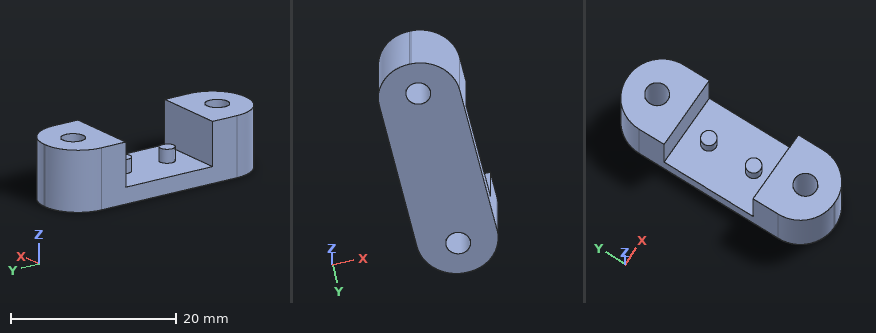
import cadquery as cq

width = 10.0
length = 30.0
height = 8.0
corner_radius = 4.9

channel_length = 12.9
floor_thickness = 2.2

hole_diameter = 3.0
hole_spacing = 21.5

pin_diameter = 2.0
pin_spacing = 6.5
pin_top = 4.0


def pair_along_length(spacing):
    """Two points on the Y axis, placed symmetrically about the centre."""
    return [(0, -spacing / 2), (0, spacing / 2)]


def make_body():
    """Block with rounded ends, standing on the XY plane."""
    block = cq.Workplane("XY").rect(width, length).extrude(height)
    return block.edges("|Z").fillet(corner_radius)


def make_channel():
    """Material removed between the two end blocks."""
    return (
        cq.Workplane("XY", origin=(0, 0, floor_thickness))
        .rect(width, channel_length)
        .extrude(height - floor_thickness)
    )


def make_holes():
    """Cylinders for the through holes in the end blocks."""
    return (
        cq.Workplane("XY")
        .pushPoints(pair_along_length(hole_spacing))
        .circle(hole_diameter / 2)
        .extrude(height)
    )


def make_pins():
    """Pins that run from the underside up, so they fuse with the floor."""
    return (
        cq.Workplane("XY")
        .pushPoints(pair_along_length(pin_spacing))
        .circle(pin_diameter / 2)
        .extrude(pin_top)
    )


result = make_body().cut(make_channel()).cut(make_holes()).union(make_pins())